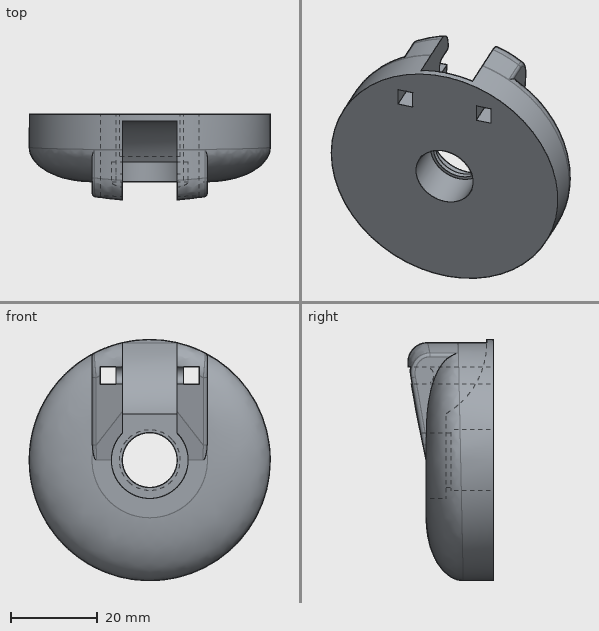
import cadquery as cq
import math

body_radius = 27.8
body_depth = 15.6
flat_radius = 13.3
rim_depth = 7.6
rim_slope = 0.021
dome_rings = 9

rib_outer = flat_radius
rib_angle = 11.6
facet_tilt = 2.8
facet_inner_height = 11.2
facet_outer_height = 2.2
nose_radius = 4.6
rib_edge_radius = 1.0

bore_radius = 6.3
counterbore_radius = 8.85
counterbore_floor = 11.0
lip_thickness = 1.2
back_bore_radius = 7.0

channel_half_width = bore_radius
wheel_radius = 18.9
wheel_depth = 20.5
wheel_height = 27.0

slot_height = 19.5
slot_width = 4.0
slot_end_depth = 13.8
slot_outer = 11.4
window_inner = 7.8

clearance = 5.0


def disc(radius, start_depth, end_depth):
    """Cylinder on the body axis between two distances from the back face."""
    return (
        cq.Workplane("XZ", origin=(0, -start_depth, 0))
        .circle(radius)
        .extrude(end_depth - start_depth)
    )


def side_profile(start_x):
    """Sketch plane at start_x facing -X: local x = distance from the back face and local y = Z."""
    plane = cq.Plane(origin=(start_x, 0, 0), xDir=(0, -1, 0), normal=(-1, 0, 0))
    return cq.Workplane(plane)


def dome_ring(angle):
    """Tilted ring of the dome; angle runs from 0 at the side wall to 90 degrees at the flat."""
    radius = flat_radius + (body_radius - flat_radius) * math.cos(angle)
    depth = rim_depth + (body_depth - rim_depth) * math.sin(angle)
    slope = rim_slope * (1 - math.sin(angle)) * body_radius / radius
    tilt = math.atan(slope)
    return cq.Wire.makeEllipse(
        radius / math.cos(tilt),
        radius,
        cq.Vector(0, -depth, 0),
        cq.Vector(0, -math.cos(tilt), -math.sin(tilt)),
        cq.Vector(0, -math.sin(tilt), math.cos(tilt)),
    )


def make_wall():
    """Straight side wall, cut off in front by the tilted plane where the dome begins."""
    rise = rim_slope * body_radius
    outline = [
        (0, -body_radius),
        (rim_depth - rise, -body_radius),
        (rim_depth + rise, body_radius),
        (0, body_radius),
    ]
    limit = side_profile(body_radius).polyline(outline).close().extrude(2 * body_radius)
    return disc(body_radius, 0, body_depth).intersect(limit)


def make_dome():
    step = math.pi / 2 / (dome_rings - 1)
    rings = [dome_ring(index * step) for index in range(dome_rings)]
    return cq.Workplane(obj=cq.Solid.makeLoft(rings))


def make_rib():
    """Rib on the +X side: leaning front, tilted facet, rounded nose and rounded outer edge."""
    front_rise = body_radius * math.tan(math.radians(rib_angle))
    outline = [
        (0, 0),
        (body_depth, 0),
        (body_depth + front_rise, body_radius),
        (0, body_radius),
    ]
    rib = side_profile(rib_outer).polyline(outline).close().extrude(rib_outer - channel_half_width)
    rib = rib.cut(make_facet_cutter())
    rib = rib.intersect(disc(body_radius, 0, body_depth + front_rise))
    rib = rib.faces("<Y").edges(">Z").fillet(nose_radius)
    front_region = cq.selectors.BoxSelector(
        (0, -rim_depth, 0),
        (body_radius, -body_depth - front_rise, body_radius),
    )
    return rib.faces(">X").edges(front_region).fillet(rib_edge_radius)


def make_facet_cutter():
    """Box whose lower face is the rib front turned back by facet_tilt about the facet's lower edge."""
    lean = math.tan(math.radians(rib_angle))
    inner = cq.Vector(channel_half_width, -body_depth - lean * facet_inner_height, facet_inner_height)
    outer = cq.Vector(rib_outer, -body_depth - lean * facet_outer_height, facet_outer_height)
    front_normal = cq.Vector(0, -1, -lean)
    plane = cq.Plane(origin=inner, xDir=outer - inner, normal=front_normal)
    box_size = 2 * body_radius
    cutter = cq.Workplane(plane.rotated((-facet_tilt, 0, 0))).rect(box_size, box_size).extrude(body_depth)
    upper_side = (
        cq.Workplane(plane)
        .center(0, box_size / 2)
        .rect(2 * box_size, box_size)
        .extrude(box_size, both=True)
    )
    return cutter.intersect(upper_side)


def make_hole():
    counterbore = disc(counterbore_radius, counterbore_floor, body_depth + clearance)
    bore = disc(bore_radius, 0, counterbore_floor)
    back_bore = disc(back_bore_radius, 0, counterbore_floor - lip_thickness)
    return counterbore.union(bore).union(back_bore)


def make_channel():
    floor_to_wheel = wheel_depth - counterbore_floor
    floor_end = wheel_height - math.sqrt(wheel_radius**2 - floor_to_wheel**2)
    wheel_back = wheel_depth - wheel_radius
    half_sweep = math.asin((wheel_height - floor_end) / wheel_radius) / 2
    mid_point = (
        wheel_depth - wheel_radius * math.cos(half_sweep),
        wheel_height - wheel_radius * math.sin(half_sweep),
    )
    front = wheel_depth + clearance
    top = body_radius + clearance
    return (
        side_profile(channel_half_width)
        .moveTo(front, 0)
        .lineTo(counterbore_floor, 0)
        .lineTo(counterbore_floor, floor_end)
        .threePointArc(mid_point, (wheel_back, wheel_height))
        .lineTo(wheel_back, top)
        .lineTo(front, top)
        .close()
        .extrude(2 * channel_half_width)
    )


def make_axle_slot():
    """Slot with a round end in the +X rib, and the window behind it through to the back."""
    half_width = slot_width / 2
    round_center = slot_end_depth + half_width
    front = wheel_depth + clearance
    slot = (
        side_profile(slot_outer)
        .moveTo(front, slot_height - half_width)
        .lineTo(round_center, slot_height - half_width)
        .threePointArc((slot_end_depth, slot_height), (round_center, slot_height + half_width))
        .lineTo(front, slot_height + half_width)
        .close()
        .extrude(slot_outer - channel_half_width)
    )
    window = (
        cq.Workplane("XZ")
        .center((slot_outer + window_inner) / 2, slot_height)
        .rect(slot_outer - window_inner, slot_width)
        .extrude(round_center)
    )
    return slot.union(window)


def both_sides(half):
    return half.union(half.mirror("YZ"))


result = (
    make_wall()
    .union(both_sides(make_rib()))
    .union(make_dome())
    .cut(make_hole())
    .cut(make_channel())
    .cut(both_sides(make_axle_slot()))
)